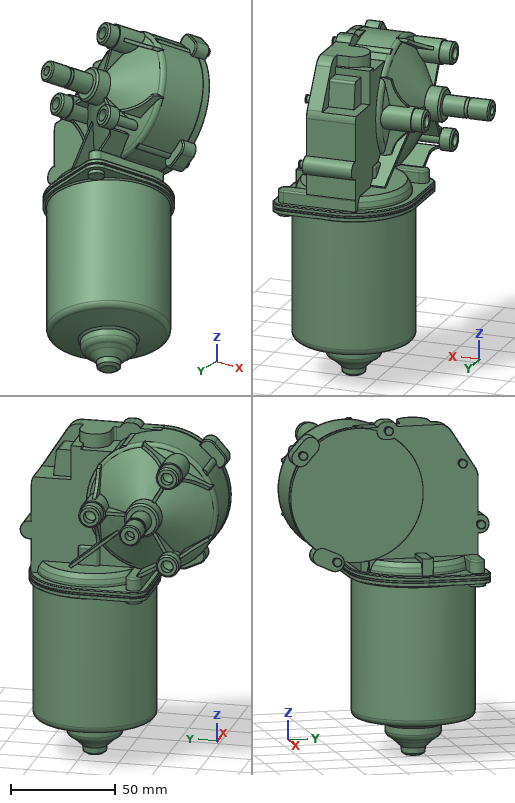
import cadquery as cq
import math


diagonal = math.sqrt(0.5)

pick_margin = 0.8

shaft_y = -31.2
shaft_z = 130.0
shaft_d = 10.2
shaft_tip_x = -59.0
shaft_end_x = -11.5
shaft_chamfer = 0.7
shaft_groove_d = 9.5
shaft_groove_x = -48.0
shaft_groove_width = 1.7
center_hole_d = 4.5
center_hole_depth = 5.0

back_x = 13.5
cover_thickness = 3.6
cover_x = back_x - cover_thickness
cover_r = 32.7
drum_r = 32.4
drum_front_x = -11.5
drum_edge = 2.0
cone_base_x = -14.2
cone_base_r = 30.5
cone_tip_x = -27.6
cone_tip_r = 8.1
collar_d = 17.0
collar_x = -35.2
collar_chamfer = 1.0

boss_circle_r = 25.5
boss_count = 3
boss_d = 12.4
boss_x = -29.0
slim_boss_d = 5.0
bushing_d = 11.0
bushing_chamfer = 0.8
bushing_hole_d = 6.0
bushing_hole_depth = 4.3
drill_tip_depth = 1.2
rib_width = 1.7
rib_x = -28.0
side_rib_start = 5.3
side_rib_mid = 11.2
side_rib_mid_x = -20.5
side_rib_foot = 18.8
side_rib_foot_x = -17.2
side_rib_end = 19.7
long_rib_x = -25.3
long_rib_arc_end = 9.9
long_rib_arc_mid = (-26.5, 7.0)

block_y = 28.5
block_corner_z = 138.8
block_top_y = 13.2
block_top_z = shaft_z + cover_r
block_corner_r = 7.5
step_x = 6.0
step_y = 9.1
step_z = 140.3
ledge_split_y = 4.0
ledge_high_z = 157.3
ledge_low_z = 155.8
ledge_end_y = -11.5
pad_r = 7.6
pad_y = -0.3
pad_x = -0.2
pad_corner_r = 1.2
small_block_x = -7.1
small_block_y = 17.2
small_block_foot_y = 18.7
small_block_z = 153.6
small_block_fillet = 1.3

lug_r = 4.3
lug_chamfer = 0.7
lug_circle_r = 33.9
lug_slot_length = 16.0
lug_angles = [138.5, 245.6]
top_lug_y = -16.0
top_lug_z = 160.9
top_lug_slot_length = 10.7
side_lug_r = 4.5
side_lug_y = 29.5
side_lug_z = 113.3
pin_d = 3.6
pin_head_d = 4.1
pin_head_length = 0.7
pin_end_x = 16.5
pin_points = [
    (top_lug_y, 161.0),
    (20.5, 143.5),
    (side_lug_y, side_lug_z),
    (-58.3, 151.0),
    (-41.5, 98.3),
]
column_r = 2.3
column_angles = [63.6, 143.5, 252.0]
column_circle_r = 30.9
column_front_x = -12.9

flange_r = 31.5
flange_corner_r = 6.6
flange_edge = 0.5
motor_flange_z = 87.5
motor_flange_top_z = 89.2
groove_inset = 0.8
housing_flange_z = 90.2
housing_flange_top_z = 92.2

dome_d = 56.0
dome_side_z = 93.3
dome_shoulder_r = 27.3
dome_shoulder_z = 95.8
dome_top_r = 25.6
dome_top_z = 98.3
post_x = 25.3
post_y = 25.1
post_d = 7.3
post_top_z = 98.5
post_fillet = 0.8
buttress_front_reach = 13.2
buttress_back_reach = 28.5
buttress_front_width = 10.5
buttress_front_top_z = 107.7
buttress_back_width = 5.3
buttress_back_top_z = 100.5
buttress_fillet = 1.2
brace_start = (7.8, 98.6)
brace_end = (-16.9, 119.3)
brace_start_x = -18.8
brace_end_x = -21.8
brace_width = 1.57

can_r = 29.7
can_lower_z = 21.8
can_rim_mid = (29.0, 19.8)
can_cone_r = 27.6
can_cone_z = 18.8
neck_r = 13.5
neck_top_z = 14.9
neck_flare_r = 14.7
neck_flare_z = 15.9
neck_fillet_z = 11.5
neck_fillet_mid = (12.9, 9.9)
neck_bottom_r = 11.4
neck_bottom_z = 8.8
nose_cone_r = 9.3
nose_cone_z = 7.1
nose_r = 6.0
nose_z = 4.0
nose_tip_side_r = 5.6
nose_tip_side_z = 1.2
nose_tip_r = 4.0
can_ring_r = 30.4
can_ring_z = 86.7
crimp_d = 8.0
crimp_z = 85.7


def disc_x(y, z, diameter, x_start, x_end):
    """Cylinder along X from x_start to x_end."""
    plane = cq.Workplane("YZ", origin=(x_start, y, z))
    return plane.circle(diameter / 2).extrude(x_end - x_start)


def box_between(x0, x1, y0, y1, z0, z1):
    """Box given by its limits on each axis."""
    return cq.Workplane("XY").box(x1 - x0, y1 - y0, z1 - z0, centered=False).translate((x0, y0, z0))


def turn_about_shaft(body, angle):
    """Turn a body about the shaft axis; angle 0 is +Y and 90 is +Z."""
    return body.rotate((0, shaft_y, shaft_z), (1, shaft_y, shaft_z), angle)


def shaft_axis_point(radius, angle):
    """Y and Z of a point on a circle around the shaft axis."""
    turn = math.radians(angle)
    return shaft_y + radius * math.cos(turn), shaft_z + radius * math.sin(turn)


def flange_outline(inset, z_low, z_high):
    """Round flange with two opposite squared corners, for the (-X, -Y) and (+X, +Y) posts."""
    r = flange_r - inset
    straight = r - flange_corner_r
    arc_mid = r * diagonal
    corner_mid = straight + flange_corner_r * diagonal
    return (
        cq.Workplane("XY", origin=(0, 0, z_low))
        .moveTo(0, r)
        .lineTo(straight, r)
        .threePointArc((corner_mid, corner_mid), (r, straight))
        .lineTo(r, 0)
        .threePointArc((arc_mid, -arc_mid), (0, -r))
        .lineTo(-straight, -r)
        .threePointArc((-corner_mid, -corner_mid), (-r, -straight))
        .lineTo(-r, 0)
        .threePointArc((-arc_mid, arc_mid), (0, r))
        .close()
        .extrude(z_high - z_low)
    )


def make_motor():
    """Motor can with its end neck, upper flange and crimps under the squared corners."""
    can = (
        cq.Workplane("XZ")
        .moveTo(0, 0)
        .lineTo(nose_tip_r, 0)
        .lineTo(nose_tip_side_r, nose_tip_side_z)
        .lineTo(nose_r, nose_z)
        .lineTo(nose_cone_r, nose_cone_z)
        .lineTo(neck_bottom_r, neck_bottom_z)
        .threePointArc(neck_fillet_mid, (neck_r, neck_fillet_z))
        .lineTo(neck_r, neck_top_z)
        .lineTo(neck_flare_r, neck_flare_z)
        .lineTo(can_cone_r, can_cone_z)
        .threePointArc(can_rim_mid, (can_r, can_lower_z))
        .lineTo(can_r, can_ring_z)
        .lineTo(can_ring_r, motor_flange_z)
        .lineTo(0, motor_flange_z)
        .close()
        .revolve(360, (0, 0), (0, 1))
    )
    motor = can.union(flange_outline(0, motor_flange_z, motor_flange_top_z))
    for side in (-1, 1):
        crimp = cq.Workplane("XY", origin=(side * post_x, side * post_y, crimp_z))
        motor = motor.union(crimp.circle(crimp_d / 2).extrude(motor_flange_z - crimp_z))
    return motor


def make_shaft():
    """Output shaft with a chamfered tip, a ring groove and a center hole."""
    shaft = disc_x(shaft_y, shaft_z, shaft_d, shaft_tip_x, shaft_end_x)
    shaft = shaft.faces("<X").chamfer(shaft_chamfer)
    groove_end_x = shaft_groove_x + shaft_groove_width
    groove = disc_x(shaft_y, shaft_z, 2 * shaft_d, shaft_groove_x, groove_end_x)
    groove = groove.cut(disc_x(shaft_y, shaft_z, shaft_groove_d, shaft_groove_x, groove_end_x))
    center_hole = disc_x(shaft_y, shaft_z, center_hole_d, shaft_tip_x, shaft_tip_x + center_hole_depth)
    return shaft.cut(groove).cut(center_hole)


def drum():
    """Gear drum: cylinder with a rounded edge, a cone towards -X and the shaft collar."""
    edge_mid = (drum_front_x - drum_edge, cone_base_r + diagonal * (drum_r - cone_base_r))
    body = (
        cq.Workplane("XY", origin=(0, shaft_y, shaft_z))
        .moveTo(cone_tip_x, 0)
        .lineTo(cone_tip_x, cone_tip_r)
        .lineTo(cone_base_x, cone_base_r)
        .threePointArc(edge_mid, (drum_front_x, drum_r))
        .lineTo(cover_x, drum_r)
        .lineTo(cover_x, 0)
        .close()
        .revolve(360, (0, 0), (1, 0))
    )
    collar = disc_x(shaft_y, shaft_z, collar_d, collar_x, cone_base_x)
    return body.union(collar.faces("<X").chamfer(collar_chamfer))


def side_rib():
    """Curved rib that runs from a boss on the +Y side of the shaft, along +Z, to the drum edge."""
    return (
        cq.Workplane("XZ", origin=(0, shaft_y + boss_circle_r + rib_width / 2, shaft_z))
        .moveTo(rib_x, side_rib_start)
        .threePointArc((side_rib_mid_x, side_rib_mid), (side_rib_foot_x, side_rib_foot))
        .lineTo(cone_base_x, side_rib_end)
        .lineTo(drum_front_x, side_rib_end)
        .lineTo(drum_front_x, side_rib_start)
        .close()
        .extrude(rib_width)
    )


def long_side_rib():
    """Deep rib in place of a curved one, from the slim boss to the corner post."""
    return (
        cq.Workplane("XZ", origin=(0, shaft_y + boss_circle_r + rib_width / 2, shaft_z))
        .moveTo(boss_x, side_rib_start)
        .threePointArc(long_rib_arc_mid, (long_rib_x, long_rib_arc_end))
        .lineTo(long_rib_x, side_rib_end)
        .lineTo(drum_front_x, side_rib_end)
        .lineTo(drum_front_x, side_rib_start)
        .close()
        .extrude(rib_width)
    )


def mounting_boss(stem_d):
    """Mounting boss on the +Y side of the shaft, with its bushing, radial rib and side ribs."""
    y = shaft_y + boss_circle_r
    stem = disc_x(y, shaft_z, stem_d, boss_x, drum_front_x)
    bushing = disc_x(y, shaft_z, bushing_d, collar_x, boss_x).faces("<X").chamfer(bushing_chamfer)
    half = rib_width / 2
    radial_rib = box_between(rib_x, cone_base_x, shaft_y, y, shaft_z - half, shaft_z + half)
    boss = stem.union(bushing).union(radial_rib)
    upper_rib = long_side_rib() if stem_d == slim_boss_d else side_rib()
    lower_rib = side_rib().mirror("XY", (0, 0, shaft_z))
    return boss.union(upper_rib).union(lower_rib)


def bushing_hole():
    """Blind bushing hole with a conical bottom, on the +Y side of the shaft."""
    hole_end = collar_x + bushing_hole_depth
    return (
        cq.Workplane("XY", origin=(0, shaft_y + boss_circle_r, shaft_z))
        .moveTo(collar_x, 0)
        .lineTo(collar_x, bushing_hole_d / 2)
        .lineTo(hole_end, bushing_hole_d / 2)
        .lineTo(hole_end + drill_tip_depth, 0)
        .close()
        .revolve(360, (0, 0), (1, 0))
    )


def gear_block():
    """Block beside the drum, with the stepped recess, round pad and small block on its top."""
    outline = [
        (shaft_y, housing_flange_top_z),
        (block_y, housing_flange_top_z),
        (block_y, block_corner_z),
        (block_top_y, block_top_z),
        (shaft_y, block_top_z),
    ]
    block = cq.Workplane("YZ", origin=(drum_front_x, 0, 0)).polyline(outline).close()
    block = block.extrude(back_x - drum_front_x)
    slope_corners = cq.selectors.BoxSelector(
        (drum_front_x - pick_margin, block_top_y - pick_margin, block_corner_z - pick_margin),
        (back_x + pick_margin, block_y + pick_margin, block_top_z + pick_margin),
    )
    block = block.edges("|X").edges(slope_corners).fillet(block_corner_r)
    underside = box_between(
        drum_front_x, back_x, shaft_y, -post_y, housing_flange_top_z, shaft_z - drum_r
    )
    block = block.cut(underside)

    recesses = [
        (step_y, block_y, step_z),
        (ledge_split_y, step_y, ledge_high_z),
        (ledge_end_y, ledge_split_y, ledge_low_z),
        (shaft_y, ledge_end_y, shaft_z),
    ]
    for y_low, y_high, z_floor in recesses:
        block = block.cut(box_between(drum_front_x, step_x, y_low, y_high, z_floor, block_top_z))

    pad_height = block_top_z - ledge_low_z
    pad = cq.Workplane("XY", origin=(pad_x, pad_y, ledge_low_z)).circle(pad_r).extrude(pad_height)
    pad = pad.union(box_between(pad_x, step_x, pad_y - pad_r, pad_y + pad_r, ledge_low_z, block_top_z))
    small_block_outline = [
        (step_y, step_z),
        (small_block_foot_y, step_z),
        (small_block_y, small_block_z),
        (step_y, small_block_z),
    ]
    small_block = cq.Workplane("YZ", origin=(small_block_x, 0, 0)).polyline(small_block_outline).close()
    small_block = small_block.extrude(step_x - small_block_x)
    small_block = small_block.faces(">Z").edges(">Y").fillet(small_block_fillet)
    block = block.union(pad).union(small_block)
    pad_side_y = pad_y - pad_r
    pad_corner = cq.selectors.BoxSelector(
        (step_x - pick_margin, pad_side_y - pick_margin, ledge_low_z),
        (step_x + pick_margin, pad_side_y + pick_margin, block_top_z),
    )
    return block.edges("|Z").edges(pad_corner).fillet(pad_corner_r)


def cover_lugs():
    """Lugs at the rim that frame the cover: two tangential ones and one at the top."""
    tangential_lug = (
        cq.Workplane("YZ", origin=(step_x, shaft_y + lug_circle_r, shaft_z))
        .slot2D(lug_slot_length, 2 * lug_r, 90)
        .extrude(back_x - step_x)
        .faces("<X")
        .chamfer(lug_chamfer)
    )
    lugs = (
        cq.Workplane("YZ", origin=(step_x, top_lug_y, top_lug_z))
        .slot2D(top_lug_slot_length, 2 * lug_r)
        .extrude(back_x - step_x)
    )
    for angle in lug_angles:
        lugs = lugs.union(turn_about_shaft(tangential_lug, angle))
    return lugs


def cover_disc():
    """Full disc of the cover, before the lugs are cut out of its rim."""
    return disc_x(shaft_y, shaft_z, 2 * cover_r, cover_x, back_x)


def cover_pin(y, z):
    """Pin with a slightly wider end, standing out of the back face."""
    pin = disc_x(y, z, pin_d, back_x, pin_end_x)
    return pin.union(disc_x(y, z, pin_head_d, pin_end_x - pin_head_length, pin_end_x))


def flange_dome():
    """Dome on the gearbox flange, around the motor axis."""
    dome_r = dome_d / 2
    return (
        cq.Workplane("XZ")
        .moveTo(0, housing_flange_top_z)
        .lineTo(dome_r, housing_flange_top_z)
        .lineTo(dome_r, dome_side_z)
        .lineTo(dome_shoulder_r, dome_shoulder_z)
        .lineTo(dome_top_r, dome_top_z)
        .lineTo(0, dome_top_z)
        .close()
        .revolve(360, (0, 0), (0, 1))
    )


def corner_post(side):
    """Round-ended wall from the block to a squared flange corner; side is -1 for (-X, -Y)."""
    inner_x = side * drum_front_x
    wall = box_between(
        min(inner_x, side * post_x), max(inner_x, side * post_x),
        side * post_y - post_d / 2, side * post_y + post_d / 2,
        housing_flange_top_z, post_top_z,
    )
    post = cq.Workplane("XY", origin=(side * post_x, side * post_y, housing_flange_top_z))
    post = post.circle(post_d / 2).extrude(post_top_z - housing_flange_top_z)
    return wall.union(post).faces(">Z").edges().fillet(post_fillet)


def buttresses():
    """Upright buttresses on the dome, in front of and behind the block."""
    front = box_between(
        -buttress_front_reach, 0, -buttress_front_width / 2, buttress_front_width / 2,
        housing_flange_top_z, buttress_front_top_z,
    )
    front = front.edges("<X or (>Z and |X)").fillet(buttress_fillet)
    back = box_between(
        0, buttress_back_reach, -buttress_back_width / 2, buttress_back_width / 2,
        housing_flange_top_z, buttress_back_top_z,
    )
    return front.union(back)


def diagonal_brace():
    """Thin sloping wall from the dome up to the cone."""
    run = brace_end[0] - brace_start[0]
    rise = brace_end[1] - brace_start[1]
    length = math.hypot(run, rise)
    brace = (
        cq.Workplane("XY", origin=(0, 0, -brace_width / 2))
        .polyline([(brace_start_x, 0), (brace_end_x, length), (drum_front_x, length), (drum_front_x, 0)])
        .close()
        .extrude(brace_width)
    )
    slope = math.degrees(math.atan2(rise, run))
    return brace.rotate((0, 0, 0), (1, 0, 0), slope).translate((0, brace_start[0], brace_start[1]))


def make_housing():
    """Gearbox housing in one piece, with the shaft hole and the cover recess cut out."""
    flange = flange_outline(0, housing_flange_z, housing_flange_top_z)
    flange = flange.faces(">Z").chamfer(flange_edge)
    housing = flange.union(flange_outline(groove_inset, motor_flange_top_z, housing_flange_z))
    housing = housing.union(flange_dome()).union(buttresses())
    for side in (-1, 1):
        housing = housing.union(corner_post(side))
    housing = housing.union(gear_block()).union(drum()).union(diagonal_brace())

    boss_pitch = 360 / boss_count
    for index in range(boss_count):
        stem_d = slim_boss_d if index == boss_count - 1 else boss_d
        housing = housing.union(turn_about_shaft(mounting_boss(stem_d), index * boss_pitch))
    for index in range(boss_count):
        housing = housing.cut(turn_about_shaft(bushing_hole(), index * boss_pitch))

    for angle in column_angles:
        y, z = shaft_axis_point(column_circle_r, angle)
        housing = housing.union(disc_x(y, z, 2 * column_r, column_front_x, cover_x))
    housing = housing.union(disc_x(side_lug_y, side_lug_z, 2 * side_lug_r, drum_front_x, back_x))
    housing = housing.cut(cover_disc()).union(cover_lugs())
    for y, z in pin_points:
        housing = housing.union(cover_pin(y, z))
    return housing.cut(disc_x(shaft_y, shaft_z, shaft_d, collar_x, shaft_end_x))


def make_cover():
    """Round gear cover, set into the back of the housing between the lugs."""
    return cover_disc().cut(cover_lugs())


motor = make_motor()
housing = make_housing()
cover = make_cover()
shaft = make_shaft()

result = cq.Compound.makeCompound([motor.val(), housing.val(), cover.val(), shaft.val()])